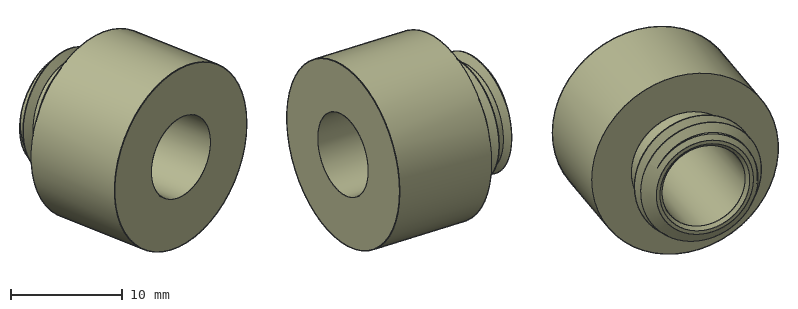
import cadquery as cq
import math

total_length = 15.0
head_diameter = 17.85
head_length = 10.0
head_edge_chamfer = 0.04
neck_diameter = 10.26
bore_diameter = 7.95
neck_length = total_length - head_length

tip_diameter = 9.28
tip_cone_angle = 60.0
bore_chamfer = 0.32

thread_pitch = 1.5
thread_diameter = 11.85
crest_width = 0.05
flank_angle = 30.0
thread_end = 3.34
thread_turns = 4
root_overlap = 0.15
crest_clearance = 0.18
first_crest = -1.23

neck_radius = neck_diameter / 2
thread_radius = thread_diameter / 2
tip_radius = tip_diameter / 2
cone_slope = math.tan(math.radians(tip_cone_angle))


def cylinder(diameter, start, length):
    """Solid cylinder along X."""
    return cq.Workplane("YZ", origin=(start, 0, 0)).circle(diameter / 2).extrude(length)


def tapered_envelope(outer_radius, end):
    """Cylinder along X whose front end narrows to the tip as a cone."""
    cone_length = (outer_radius - tip_radius) / cone_slope
    outline = [
        (0, 0),
        (0, tip_radius),
        (cone_length, outer_radius),
        (end, outer_radius),
        (end, 0),
    ]
    return cq.Workplane("XY").polyline(outline).close().revolve(360, (0, 0), (1, 0))


def helical_ridge():
    """Thread ridge wound around X, longer than needed at both ends."""
    root_radius = neck_radius - root_overlap
    half_crest = crest_width / 2
    flank_run = (thread_radius - root_radius) * math.tan(math.radians(flank_angle))
    half_root = half_crest + flank_run
    helix = cq.Wire.makeHelix(thread_pitch, thread_turns * thread_pitch, root_radius)
    profile = [
        (root_radius, -half_root),
        (thread_radius, -half_crest),
        (thread_radius, half_crest),
        (root_radius, half_root),
    ]
    ridge = cq.Workplane("XZ").polyline(profile).close().sweep(cq.Workplane(helix), isFrenet=True)
    return ridge.rotate((0, 0, 0), (0, 1, 0), 90).translate((first_crest, 0, 0))


def thread():
    """Ridge cut off by the tip cone in front and by a flat plane behind."""
    envelope_radius = thread_radius + crest_clearance
    return helical_ridge().intersect(tapered_envelope(envelope_radius, thread_end))


def bore():
    """Through bore with a 45 degree chamfer at the tip."""
    chamfer_cutter = cq.Workplane("XY").polyline([
        (0, 0),
        (0, bore_diameter / 2 + bore_chamfer),
        (bore_chamfer, bore_diameter / 2),
        (bore_chamfer, 0),
    ]).close().revolve(360, (0, 0), (1, 0))
    return cylinder(bore_diameter, 0, total_length).union(chamfer_cutter)


head = cylinder(head_diameter, neck_length, head_length).faces(">X").chamfer(head_edge_chamfer)
neck = tapered_envelope(neck_radius, neck_length)
result = head.union(neck).union(thread()).cut(bore())